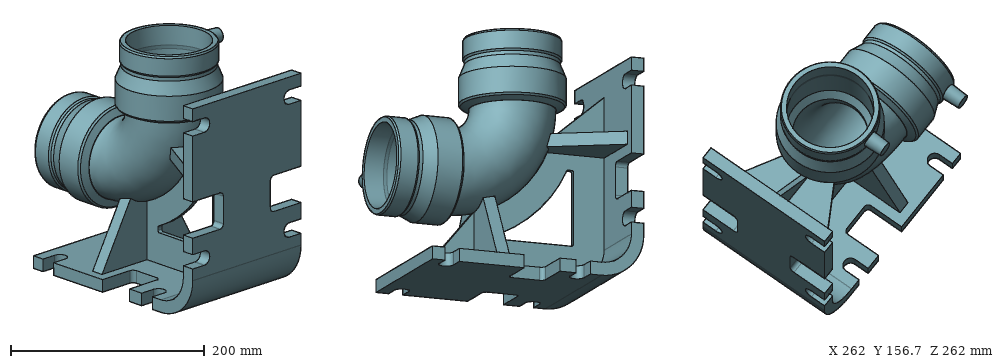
import cadquery as cq
import math

TWIN_PLANE = (1, 0, 1)

socket_end = 147.0
bend_radius = 73.0
bend_outer_r = 45.0
bend_bore_r = 39.3
mouth_bore_r = 45.0
socket_bore_r = 45.8
collar_r = 103.0 / 2
neck_r = 99.8 / 2
sleeve_r = 112.0 / 2
collar_chamfer = 2.0
collar_height = 21.2
neck_top = 23.3
neck_bottom = 27.2
sleeve_top = 41.7
sleeve_bottom = 69.2
sleeve_chamfer = 1.8
sleeve_chamfer_depth = 2.0
sleeve_foot_depth = 75.0
sleeve_foot_r = 45.5
step_top = 21.5
step_bottom = 25.7
bore_cone_height = 8.0

terminal_depth = 12.0
terminal_tip_y = 70.7
terminal_base_r = 9.2
terminal_tip_r = 7.9
terminal_root = 4.0

corner = 115.0
plate_length = 235.5
plate_width = 156.7
plate_thickness = 14.0
corner_outer_r = 47.0
bolt_slot_places = (67.5, 213.5)
bolt_slot_width = 15.7
bolt_slot_depth = 24.5
notch_start = 93.5
notch_end = 133.4
notch_depth = 44.3
notch_corner_r = 9.7 / 2

web_thickness = 5.5
web_toe = 209.3
web_apex = 5.5
window_edge = 48.0
window_far = 128.6
window_arc_r = 146.0
window_corner_r = 4.7 / 2
gusset_place = 152.0
gusset_base_half = 67.5
gusset_slope = 29.5

plate_face = corner - plate_thickness
corner_inner_r = corner_outer_r - plate_thickness


def with_twin(body):
    """Join a feature of one limb with its mirror image on the other limb."""
    return body.union(body.mirror(TWIN_PLANE))


def elbow(radius):
    """Quarter torus between the two socket feet."""
    return (
        cq.Workplane("XY", origin=(0, 0, bend_radius))
        .circle(radius)
        .revolve(90, (-bend_radius, 0, 0), (-bend_radius, 1, 0))
    )


def turned(points):
    """Solid of revolution about Z from (radius, height) points."""
    return cq.Workplane("XZ").polyline(points).close().revolve(360, (0, 0, 0), (0, 1, 0))


def socket():
    chamfer_end = socket_end - sleeve_bottom - sleeve_chamfer_depth
    sleeve_foot = socket_end - sleeve_foot_depth
    return turned([
        (0, socket_end),
        (collar_r - collar_chamfer / 2, socket_end),
        (collar_r, socket_end - collar_chamfer),
        (collar_r, socket_end - collar_height),
        (neck_r, socket_end - neck_top),
        (neck_r, socket_end - neck_bottom),
        (sleeve_r, socket_end - sleeve_top),
        (sleeve_r, socket_end - sleeve_bottom),
        (sleeve_r - sleeve_chamfer, chamfer_end),
        (sleeve_foot_r, sleeve_foot),
        (0, sleeve_foot),
    ])


def socket_bore():
    return turned([
        (0, socket_end),
        (mouth_bore_r, socket_end),
        (mouth_bore_r, socket_end - step_top),
        (socket_bore_r, socket_end - step_bottom),
        (socket_bore_r, bend_radius + bore_cone_height),
        (bend_bore_r, bend_radius),
        (0, bend_radius),
    ])


def terminal():
    root_y = collar_r - terminal_root
    return (
        cq.Workplane("XZ", origin=(0, root_y, socket_end - terminal_depth))
        .circle(terminal_base_r)
        .workplane(offset=root_y - terminal_tip_y)
        .circle(terminal_tip_r)
        .loft()
    )


def foot_plates():
    """Two plates at a right angle, joined by a rounded corner."""
    far = corner - plate_length
    return (
        cq.Workplane("XZ")
        .moveTo(far, -corner)
        .lineTo(corner - corner_outer_r, -corner)
        .radiusArc((corner, corner_outer_r - corner), -corner_outer_r)
        .lineTo(corner, -far)
        .lineTo(plate_face, -far)
        .lineTo(plate_face, corner_outer_r - corner)
        .radiusArc((corner - corner_outer_r, -plate_face), corner_inner_r)
        .lineTo(far, -plate_face)
        .close()
        .extrude(plate_width / 2, both=True)
    )


def plate_cutouts():
    """Bolt slots and notch in both long edges of the bottom plate."""
    bottom = cq.Workplane("XY", origin=(0, 0, -corner))
    half = plate_width / 2
    slot_points = [
        (corner - place, side * half)
        for place in bolt_slot_places
        for side in (-1, 1)
    ]
    slots = (
        bottom.pushPoints(slot_points)
        .slot2D(2 * bolt_slot_depth, bolt_slot_width, 90)
        .extrude(plate_thickness)
    )
    notch_middle = corner - (notch_start + notch_end) / 2
    notches = (
        bottom.pushPoints([(notch_middle, -half), (notch_middle, half)])
        .rect(notch_end - notch_start, 2 * notch_depth)
        .extrude(plate_thickness)
        .edges("|Z")
        .fillet(notch_corner_r)
    )
    return slots.union(notches)


def web():
    """Middle rib between the plates and the elbow."""
    toe = corner - web_toe
    return (
        cq.Workplane("XZ")
        .moveTo(toe, -plate_face)
        .lineTo(corner - corner_outer_r, -plate_face)
        .radiusArc((plate_face, corner_outer_r - corner), -corner_inner_r)
        .lineTo(plate_face, -toe)
        .lineTo(-web_apex, web_apex)
        .close()
        .extrude(web_thickness / 2, both=True)
    )


def web_window():
    """Opening in the web, with one side concentric with the elbow."""
    near = corner - window_edge
    far = corner - window_far
    arc_rise = math.sqrt(window_arc_r**2 - (far + bend_radius) ** 2)
    arc_end = bend_radius - arc_rise
    return (
        cq.Workplane("XZ")
        .moveTo(far, -near)
        .lineTo(near, -near)
        .lineTo(near, -far)
        .lineTo(-arc_end, -far)
        .radiusArc((far, arc_end), window_arc_r)
        .close()
        .extrude(web_thickness, both=True)
        .edges("|Y")
        .fillet(window_corner_r)
    )


def gusset():
    """Tapered rib standing on the bottom plate, across the web; its top ends inside the elbow."""
    top_half = gusset_base_half - plate_face * math.tan(math.radians(gusset_slope))
    return (
        cq.Workplane("YZ", origin=(corner - gusset_place, 0, 0))
        .polyline([
            (-gusset_base_half, -plate_face),
            (gusset_base_half, -plate_face),
            (top_half, 0),
            (-top_half, 0),
        ])
        .close()
        .extrude(plate_thickness / 2, both=True)
    )


base = foot_plates().cut(with_twin(plate_cutouts()))
ribs = web().cut(web_window()).union(with_twin(gusset()))
pipe = elbow(bend_outer_r).union(with_twin(socket().union(terminal())))
bore = elbow(bend_bore_r).union(with_twin(socket_bore()))
result = base.union(ribs).union(pipe).cut(bore)